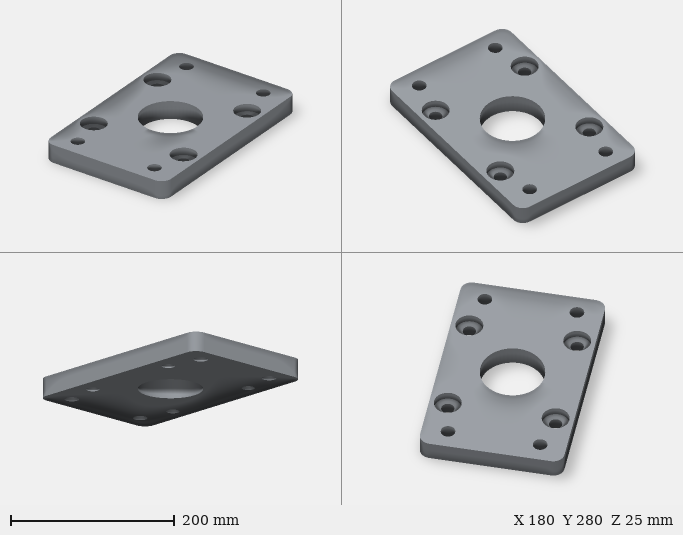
import cadquery as cq

plate_width = 180.0
plate_length = 280.0
plate_thickness = 25.0
corner_radius = 14.0

bore_diameter = 80.0

corner_hole_diameter = 18.0
corner_hole_spacing_x = 114.8
corner_hole_spacing_y = 229.5

bolt_spacing = 134.5
bolt_hole_diameter = 16.2
counterbore_diameter = 34.2
counterbore_depth = 10.0

plate = (
    cq.Workplane("XY")
    .box(plate_width, plate_length, plate_thickness, centered=(True, True, False))
    .edges("|Z")
    .fillet(corner_radius)
)

plate = plate.faces(">Z").workplane(origin=(0, 0, 0)).hole(bore_diameter)

plate = (
    plate.faces(">Z")
    .workplane(origin=(0, 0, 0))
    .rarray(corner_hole_spacing_x, corner_hole_spacing_y, 2, 2)
    .hole(corner_hole_diameter)
)

result = (
    plate.faces(">Z")
    .workplane(origin=(0, 0, 0))
    .rarray(bolt_spacing, bolt_spacing, 2, 2)
    .cboreHole(bolt_hole_diameter, counterbore_diameter, counterbore_depth)
)